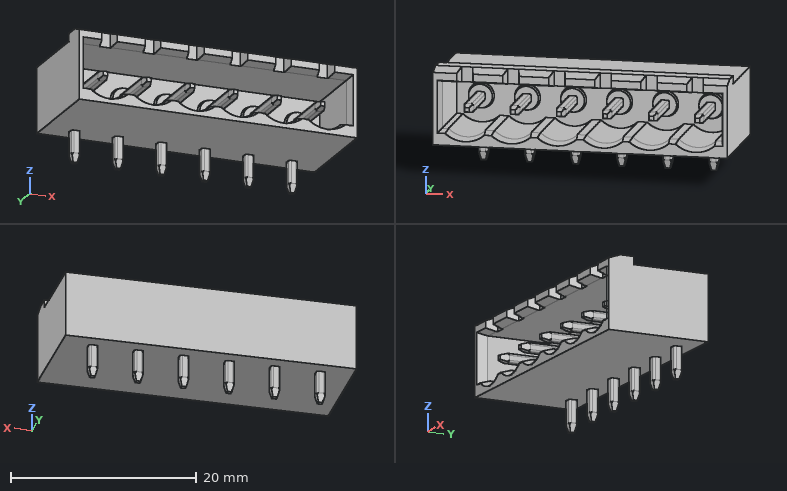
import cadquery as cq


housing_length = 32.48
housing_depth = 12.0
rim_top = 8.5
roof_top = 7.6
collar_depth = 3.02
bevel_depth = 1.33
bevel_drop = 0.5

pole_count = 6
end_margin = 3.55
pole_pitch = (housing_length - 2 * end_margin) / (pole_count - 1)
pole_xs = [(i - (pole_count - 1) / 2) * pole_pitch for i in range(pole_count)]

pin_width = 1.0
pin_corner_radius = 0.23
pin_tip_length = 1.0
pin_tip_width = 0.5
pin_axis_z = 3.8
pin_axis_y = 9.9
contact_tip_y = 1.17
solder_tip_z = -3.57

cavity_depth = 8.6
cavity_side_wall = 0.8
cavity_floor = 1.65
cavity_ceiling = 6.85
scallop_radius = 2.95
mouth_flare = 0.32
mouth_depth = 1.15

notch_back_width = 1.2
notch_front_width = 1.82
notch_depth = bevel_depth

boss_base_diameter = 2.83
boss_end_diameter = 2.63
boss_height = 0.5


def housing_block():
    """Side profile with the raised, bevelled collar, extruded along the row."""
    return (
        cq.Workplane("YZ", origin=(-housing_length / 2, 0, 0))
        .moveTo(0, 0)
        .lineTo(housing_depth, 0)
        .lineTo(housing_depth, roof_top)
        .lineTo(collar_depth, roof_top)
        .lineTo(collar_depth, rim_top)
        .lineTo(bevel_depth, rim_top)
        .lineTo(0, rim_top - bevel_drop)
        .close()
        .extrude(housing_length)
    )


def cavity_box():
    """Rectangular part of the cavity, flared at its mouth."""
    width = housing_length - 2 * cavity_side_wall
    height = cavity_ceiling - cavity_floor
    centre_z = (cavity_ceiling + cavity_floor) / 2
    front = cq.Workplane("XZ", origin=(0, 0, centre_z))
    straight = front.rect(width, height).extrude(-cavity_depth)
    mouth = (
        front.rect(width + 2 * mouth_flare, height + 2 * mouth_flare)
        .workplane(offset=-mouth_depth)
        .rect(width, height)
        .loft()
    )
    return straight.union(mouth)


def floor_scallop(x):
    """Round channel below the cavity floor, with a conical mouth."""
    axis = cq.Workplane("XZ", origin=(x, 0, pin_axis_z))
    channel = axis.circle(scallop_radius).extrude(-cavity_depth)
    mouth = (
        axis.circle(scallop_radius + mouth_flare)
        .workplane(offset=-mouth_depth)
        .circle(scallop_radius)
        .loft()
    )
    below_floor = (
        cq.Workplane("XY", origin=(x, 0, 0))
        .rect(4 * scallop_radius, 2 * cavity_depth)
        .extrude(cavity_floor)
    )
    return channel.union(mouth).intersect(below_floor)


def coding_notch(x):
    """Notch through the collar into the cavity, widening towards the mating face."""
    bottom = (cavity_floor + cavity_ceiling) / 2
    return (
        cq.Workplane("XY", origin=(x, 0, bottom))
        .moveTo(-notch_front_width / 2, 0)
        .lineTo(notch_front_width / 2, 0)
        .lineTo(notch_back_width / 2, notch_depth)
        .lineTo(-notch_back_width / 2, notch_depth)
        .close()
        .extrude(rim_top - bottom)
    )


def contact_boss(x):
    """Tapered collar standing on the back wall of the cavity."""
    return (
        cq.Workplane("XZ", origin=(x, cavity_depth, pin_axis_z))
        .circle(boss_base_diameter / 2)
        .workplane(offset=boss_height)
        .circle(boss_end_diameter / 2)
        .loft()
    )


def pin_leg(length):
    """Square leg along +Z with rounded edges and a tapered tip."""
    bar = (
        cq.Workplane("XY")
        .rect(pin_width, pin_width)
        .extrude(length)
        .edges("|Z")
        .fillet(pin_corner_radius)
    )
    tapered = (
        cq.Workplane("XY")
        .rect(pin_width, pin_width)
        .extrude(length - pin_tip_length)
        .faces(">Z")
        .workplane()
        .rect(pin_width, pin_width)
        .workplane(offset=pin_tip_length)
        .rect(pin_tip_width, pin_tip_width)
        .loft()
    )
    return bar.intersect(tapered)


def make_pin(x):
    """Right-angle pin: contact leg towards the mating face, solder leg down through the base."""
    elbow_back = pin_axis_y + pin_width / 2
    elbow_top = pin_axis_z + pin_width / 2
    contact_leg = (
        pin_leg(elbow_back - contact_tip_y)
        .rotate((0, 0, 0), (1, 0, 0), 90)
        .translate((x, elbow_back, pin_axis_z))
    )
    solder_leg = (
        pin_leg(elbow_top - solder_tip_z)
        .rotate((0, 0, 0), (1, 0, 0), 180)
        .translate((x, pin_axis_y, elbow_top))
    )
    return contact_leg.union(solder_leg).solids()


def make_housing(pins):
    """Housing with its cavity, notches and bosses, and a matching passage for every pin."""
    housing = housing_block().cut(cavity_box())
    for x in pole_xs:
        housing = housing.cut(floor_scallop(x)).cut(coding_notch(x))
    for x, pin in zip(pole_xs, pins):
        housing = housing.union(contact_boss(x)).cut(pin)
    return housing.solids()


pins = [make_pin(x) for x in pole_xs]
housing = make_housing(pins)

result = cq.Compound.makeCompound([housing.val(), *[pin.val() for pin in pins]])